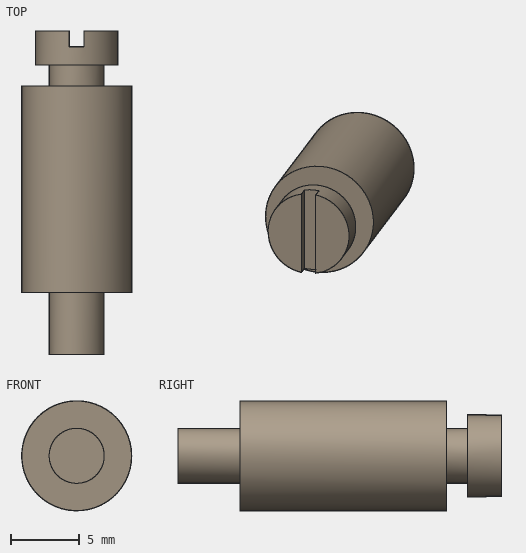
import cadquery as cq

total_length = 23.5

body_length = 15.0
neck_length = 1.5
head_length = 2.5
tip_length = total_length - body_length - neck_length - head_length

body_diameter = 8.0
shaft_diameter = body_diameter / 2
head_diameter = 6.0

slot_width = 1.05
slot_depth = 1.15


def turned_section(start_y, length, diameter):
    """Cylinder on the Y axis, growing from start_y toward +Y."""
    plane = cq.Workplane("XZ", origin=(0, start_y, 0))
    return plane.circle(diameter / 2).extrude(-length)


tip_end = -total_length / 2
body_start = tip_end + tip_length
neck_start = body_start + body_length
head_start = neck_start + neck_length
head_end = head_start + head_length

tip = turned_section(tip_end, tip_length, shaft_diameter)
body = turned_section(body_start, body_length, body_diameter)
neck = turned_section(neck_start, neck_length, shaft_diameter)
head = turned_section(head_start, head_length, head_diameter)

slot = cq.Workplane("XY").box(slot_width, slot_depth, head_diameter)
slot = slot.translate((0, head_end - slot_depth / 2, 0))

result = tip.union(body).union(neck).union(head).cut(slot)